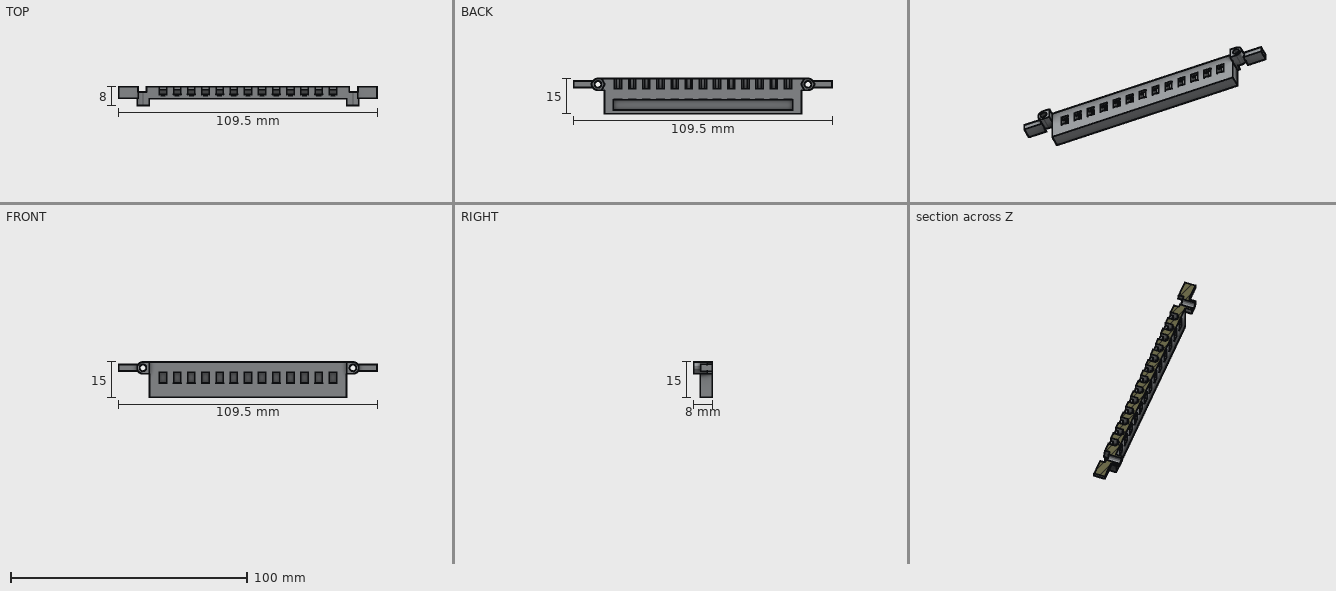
import cadquery as cq
import math

LENGTH = 109.5
DEPTH = 8.0
HEIGHT = 15.0

BAR_LENGTH = 83.5
BAR_DEPTH = 5.1

EAR_X = 44.5
EAR_RADIUS = 2.5
HOLE_DIAMETER = 2.7
NUT_POCKET_DEPTH = 2.2
NUT_POCKET_CORNERS = 2 * EAR_RADIUS / math.cos(math.radians(30))

PEG_DEPTH = 4.9
PEG_HEIGHT = 2.8

CHANNEL_COUNT = 13
CHANNEL_SPAN = 71.9
CHANNEL_PITCH = CHANNEL_SPAN / (CHANNEL_COUNT - 1)
CHANNEL_WIDTH = 3.1
WINDOW_TOP = -4.4
WINDOW_BOTTOM = -9.0
SLOT_DEPTH = 3.3
REAR_WALL = 1.2
NOTCH_WIDTH = 1.5
NOTCH_DEPTH = 0.7

RECESS_END_MARGIN = 0.4
RECESS_LENGTH = CHANNEL_SPAN + CHANNEL_WIDTH + 2 * RECESS_END_MARGIN
RECESS_BOTTOM = -13.5

FLOOR_SLOPE = math.tan(math.radians(2))
REAR_WALL_SLOPE = math.tan(math.radians(1))


def box(x_range, y_range, z_range):
    """Block between the two limits given along each axis."""
    sizes = [high - low for low, high in (x_range, y_range, z_range)]
    corner = (x_range[0], y_range[0], z_range[0])
    return cq.Workplane("XY").box(*sizes, centered=False).translate(corner)


def prism(profile, width):
    """Closed (Y, Z) profile extruded along X to the given width, centred on X = 0."""
    return cq.Workplane("YZ").polyline(profile).close().extrude(width / 2, both=True)


def right_end():
    """Peg and mounting ear at the +X end, still without the screw hole and nut pocket."""
    ear_axis = cq.Workplane("XZ", origin=(EAR_X, 0, -EAR_RADIUS))
    peg = box(
        (EAR_X, LENGTH / 2),
        (-PEG_DEPTH, 0),
        (-EAR_RADIUS - PEG_HEIGHT / 2, -EAR_RADIUS + PEG_HEIGHT / 2),
    )
    ear = box((BAR_LENGTH / 2, EAR_X), (-DEPTH, 0), (-2 * EAR_RADIUS, 0))
    ear = ear.union(ear_axis.circle(EAR_RADIUS).extrude(DEPTH))
    return peg.union(ear)


def right_end_cut():
    """Cutter for the screw hole and hexagonal nut pocket of the +X ear."""
    ear_axis = cq.Workplane("XZ", origin=(EAR_X, 0, -EAR_RADIUS))
    hole = ear_axis.circle(HOLE_DIAMETER / 2).extrude(DEPTH)
    nut_pocket = ear_axis.polygon(6, NUT_POCKET_CORNERS).extrude(NUT_POCKET_DEPTH)
    return hole.union(nut_pocket)


def channel():
    """Cutter for one channel; a low rear wall stays standing behind the window."""
    rear_wall_edge = WINDOW_TOP + REAR_WALL * REAR_WALL_SLOPE
    floor_edge = WINDOW_BOTTOM + (BAR_DEPTH - SLOT_DEPTH) * FLOOR_SLOPE
    passage = prism(
        [
            (0, 0),
            (0, WINDOW_TOP),
            (-REAR_WALL, rear_wall_edge),
            (-REAR_WALL, WINDOW_BOTTOM),
            (-SLOT_DEPTH, WINDOW_BOTTOM),
            (-SLOT_DEPTH, floor_edge),
            (-BAR_DEPTH, WINDOW_BOTTOM),
            (-BAR_DEPTH, WINDOW_TOP),
            (-SLOT_DEPTH, WINDOW_TOP),
            (-SLOT_DEPTH, 0),
        ],
        CHANNEL_WIDTH,
    )
    notch = box(
        (-NOTCH_WIDTH / 2, NOTCH_WIDTH / 2),
        (-SLOT_DEPTH - NOTCH_DEPTH, -SLOT_DEPTH),
        (WINDOW_TOP, 0),
    )
    return passage.union(notch)


def rear_recess():
    """Cutter for the long recess, open to the rear and up into every channel."""
    return prism(
        [
            (0, WINDOW_BOTTOM),
            (0, RECESS_BOTTOM),
            (-SLOT_DEPTH, RECESS_BOTTOM + SLOT_DEPTH * FLOOR_SLOPE),
            (-SLOT_DEPTH, WINDOW_BOTTOM),
        ],
        RECESS_LENGTH,
    )


body = box((-BAR_LENGTH / 2, BAR_LENGTH / 2), (-BAR_DEPTH, 0), (-HEIGHT, 0))
body = body.union(right_end()).union(right_end().mirror("YZ"))
body = body.cut(right_end_cut()).cut(right_end_cut().mirror("YZ"))
body = body.cut(rear_recess())

channel_cutter = channel()
for index in range(CHANNEL_COUNT):
    x = (index - (CHANNEL_COUNT - 1) / 2) * CHANNEL_PITCH
    body = body.cut(channel_cutter.translate((x, 0, 0)))

result = body